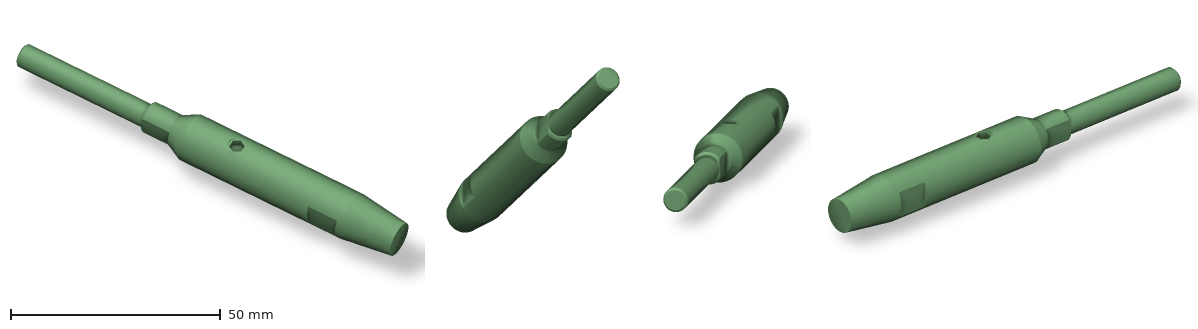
import cadquery as cq
import math

TOTAL_LENGTH = 105.0
NECK_START = 35.0
NECK_END = 42.9
SHOULDER_END = 46.9
JOINT = 70.0
FLAT_START = 82.7
FLAT_LENGTH = 8.0
TAPER_START = 91.8

SLEEVE_DIAMETER = 12.0
NECK_DIAMETER = 8.0
TAPER_END_DIAMETER = 8.6
ROD_DIAMETER = 6.0
ROD_CHAMFER = 0.5
NECK_CHAMFER = 0.5

NECK_ACROSS_FLATS = ROD_DIAMETER
SLEEVE_ACROSS_FLATS = 10.0

SCREW_X = 59.8
SCREW_DIAMETER = 4.4
SCREW_RECESS = 0.3
SOCKET_ACROSS_FLATS = 3.3
SOCKET_DEPTH = 2.0
SCREW_TOP = SLEEVE_DIAMETER / 2 - SCREW_RECESS

SLEEVE_RADIUS = SLEEVE_DIAMETER / 2
NECK_RADIUS = NECK_DIAMETER / 2
ROD_RADIUS = ROD_DIAMETER / 2


def revolve_about_x(profile_points):
    """Revolve a closed (x, radius) profile about the X axis."""
    profile = cq.Workplane("XY").polyline(profile_points).close()
    return profile.revolve(360, (0, 0, 0), (1, 0, 0))


def cylinder_along_x(radius, start, end):
    return cq.Workplane("YZ", origin=(start, 0, 0)).circle(radius).extrude(end - start)


def cylinder_along_z(radius, bottom, top):
    """Cylinder on the set screw axis."""
    return cq.Workplane("XY", origin=(SCREW_X, 0, bottom)).circle(radius).extrude(top - bottom)


def cut_flats(body, start, length, across_flats):
    """Cut a pair of parallel flats facing -Y and +Y."""
    cut_depth = (SLEEVE_DIAMETER - across_flats) / 2
    offset = (across_flats + cut_depth) / 2
    for side in (-1, 1):
        cutter = cq.Workplane("XY").box(length, cut_depth, SLEEVE_DIAMETER)
        body = body.cut(cutter.translate((start + length / 2, side * offset, 0)))
    return body


def make_rod():
    """Plain rod that ends flush with the joint between the sleeves."""
    return cylinder_along_x(ROD_RADIUS, 0, JOINT).faces("<X").chamfer(ROD_CHAMFER)


def make_front_sleeve():
    """Sleeve with a flatted neck, a bore for the rod and a hole for the set screw."""
    sleeve = revolve_about_x([
        (NECK_START, 0),
        (NECK_START, NECK_RADIUS - NECK_CHAMFER),
        (NECK_START + NECK_CHAMFER, NECK_RADIUS),
        (NECK_END, NECK_RADIUS),
        (SHOULDER_END, SLEEVE_RADIUS),
        (JOINT, SLEEVE_RADIUS),
        (JOINT, 0),
    ])
    sleeve = cut_flats(sleeve, NECK_START, NECK_END - NECK_START, NECK_ACROSS_FLATS)
    sleeve = sleeve.cut(cylinder_along_z(SCREW_DIAMETER / 2, 0, SLEEVE_RADIUS))
    return sleeve.cut(cylinder_along_x(ROD_RADIUS, NECK_START, JOINT))


def make_rear_sleeve():
    """Solid rear sleeve with wrench flats and a tapered end."""
    sleeve = revolve_about_x([
        (JOINT, 0),
        (JOINT, SLEEVE_RADIUS),
        (TAPER_START, SLEEVE_RADIUS),
        (TOTAL_LENGTH, TAPER_END_DIAMETER / 2),
        (TOTAL_LENGTH, 0),
    ])
    return cut_flats(sleeve, FLAT_START, FLAT_LENGTH, SLEEVE_ACROSS_FLATS)


def make_hex_socket():
    """Hexagonal socket volume with two of its flats facing -X and +X."""
    across_corners = SOCKET_ACROSS_FLATS / math.cos(math.pi / 6)
    hexagon = cq.Workplane("XY").polygon(6, across_corners).extrude(SOCKET_DEPTH)
    hexagon = hexagon.rotate((0, 0, 0), (0, 0, 1), 30)
    return hexagon.translate((SCREW_X, 0, SCREW_TOP - SOCKET_DEPTH))


def make_set_screw():
    """Socket set screw with a flat top, its foot shaped to the rod."""
    screw = cylinder_along_z(SCREW_DIAMETER / 2, 0, SCREW_TOP)
    screw = screw.cut(make_hex_socket())
    return screw.cut(cylinder_along_x(ROD_RADIUS, NECK_START, JOINT))


rod = make_rod()
front_sleeve = make_front_sleeve()
rear_sleeve = make_rear_sleeve()
set_screw = make_set_screw()

result = cq.Compound.makeCompound([rod.val(), front_sleeve.val(), rear_sleeve.val(), set_screw.val()])